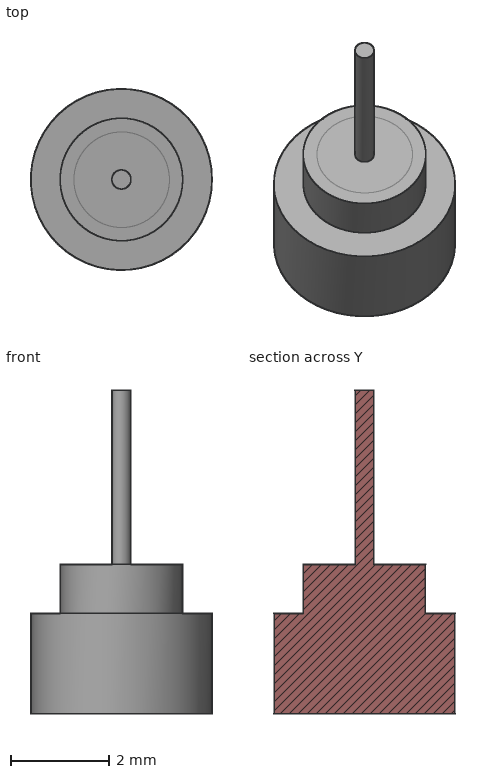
import cadquery as cq

total_height = 6.6
base_diameter = 3.7
base_height = 2.05
collar_diameter = 2.5
collar_height = 1.0
insulator_diameter = 1.95
pin_diameter = 0.39

collar_top = base_height + collar_height
pin_length = total_height - collar_top


def cylinder(diameter, height, bottom):
    """Upright cylinder centred on the Z axis, starting at the given level."""
    return cq.Workplane("XY").workplane(offset=bottom).circle(diameter / 2).extrude(height)


base = cylinder(base_diameter, base_height, 0)

insulator = cylinder(insulator_diameter, collar_height, base_height)
collar = cylinder(collar_diameter, collar_height, base_height).cut(insulator)

pin = cylinder(pin_diameter, pin_length, collar_top)

result = base.union(collar).union(insulator, clean=False).union(pin, clean=False)